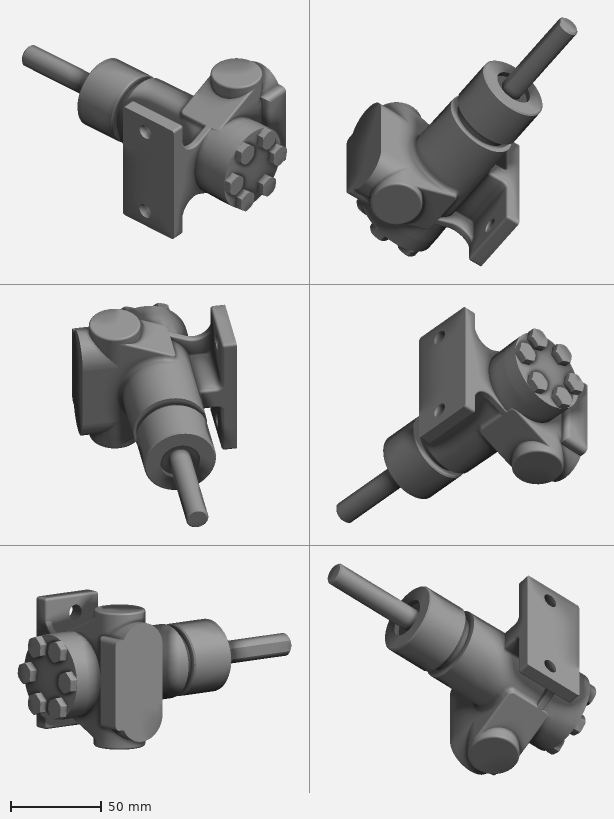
import cadquery as cq
import math


SHAFT_RADIUS = 6.35
SHAFT_CHAMFER = 1.0
SHAFT_FLAT_OFFSET = 5.6

GLAND_START = 52.6
GLAND_END = 78.4
BARREL_START = 83.4
BODY_START = 118.45
HEAD_START = 139.6
COVER_START = 154.8
COVER_END = 163.7
BOLT_END = 168.05

GLAND_RADIUS = 20.2
GLAND_CHAMFER = 0.8
GLAND_RECESS_RADIUS = 11.1
GLAND_RECESS_DEPTH = 3.0
NECK_RADIUS = 16.2
BARREL_START_RADIUS = 20.7
BARREL_END_RADIUS = 21.5
HEAD_START_RADIUS = 23.6
HEAD_RADIUS = 24.0

BOLT_COUNT = 6
HEXAGON_SIDES = 6
BOLT_CIRCLE_RADIUS = 18.4
BOLT_ACROSS_CORNERS = 12.7
BOLT_HEAD_CHAMFER = 0.6
BOLT_TURN = 20.0

PORT_RADIUS = 14.3
PORT_X = BODY_START + PORT_RADIUS
PORT_Y = 22.25
PORT_HALF_HEIGHT = 38.35
PORT_RIM_FILLET = 1.2
ELBOW_Z = 19.0
BACK_Y = 42.85
TOTAL_DEPTH = 84.07

PAD_END = 151.2
PAD_FRONT_Y = 27.0
PAD_HALF_HEIGHT = 25.4
PAD_FILLET = 3.0

BODY_FRONT_Y = -9.8
TAPER_TOP_Z = 35.95
TAPER_SLOPE = 0.436
BODY_CORNER_FILLET = 3.0
BARREL_FILLET = 2.7
TAPER_EDGE_FILLET = 1.2

PLATE_START = 104.6
PLATE_END = 141.8
PLATE_HALF_HEIGHT = 36.8
PLATE_FRONT_Y = BACK_Y - TOTAL_DEPTH
PLATE_BACK_Y = -32.9
PLATE_CORNER_FILLET = 1.6
TONGUE_HALF_THICKNESS = 6.3
TONGUE_ROOT_FILLET = 3.0
FOOT_EDGE_FILLET = 1.5
TONGUE_BARREL_FILLET = 1.3
RIB_THICKNESS = 4.4
RIB_START = PLATE_END - RIB_THICKNESS
RIB_FOOT_Y = -36.0
RIB_ARC_START_Y = -19.1
RIB_ARC_END_Z = 24.0
RIB_EDGE_FILLET = 1.0
RIB_ROOT_FILLET = 1.4
PLATE_HOLE_X = 121.0
PLATE_HOLE_Z = 26.9
PLATE_HOLE_DIAMETER = 8.5

TOLERANCE = 0.05
EDGE_SAMPLES = (0.02, 0.5, 0.98)


def edges_where(part, test):
    """Edges whose sampled points all pass the test."""
    def passes(edge):
        return all(test(edge.positionAt(place)) for place in EDGE_SAMPLES)

    return part.edges().filter(passes)


def near(value, target):
    return abs(value - target) < TOLERANCE


def on_barrel(point):
    """True within the range of radii that the tapered barrel covers."""
    distance = math.hypot(point.y, point.z)
    return BARREL_START_RADIUS < distance < BARREL_END_RADIUS + TOLERANCE


def cylinder_x(radius, start, end):
    return cq.Workplane("YZ").workplane(offset=start).circle(radius).extrude(end - start)


def block(x_range, y_range, z_range):
    size = [high - low for low, high in (x_range, y_range, z_range)]
    return cq.Workplane("XY").box(*size, centered=False).translate((x_range[0], y_range[0], z_range[0]))


def taper_z(y):
    """Half height of the tapered web at a given Y."""
    return TAPER_TOP_Z - TAPER_SLOPE * (PORT_Y - y)


def make_shaft():
    shaft = cylinder_x(SHAFT_RADIUS, 0, GLAND_END).faces("<X").chamfer(SHAFT_CHAMFER)
    flat = block((0, GLAND_END), (SHAFT_FLAT_OFFSET, SHAFT_RADIUS), (-SHAFT_RADIUS, SHAFT_RADIUS))
    return shaft.cut(flat)


def make_gland():
    gland = cylinder_x(GLAND_RADIUS, GLAND_START, GLAND_END).faces("<X or >X").chamfer(GLAND_CHAMFER)
    recess = cylinder_x(GLAND_RECESS_RADIUS, GLAND_START, GLAND_START + GLAND_RECESS_DEPTH)
    neck = cylinder_x(NECK_RADIUS, GLAND_END, BARREL_START)
    return gland.cut(recess).union(neck)


def turned_section(start, start_radius, end, end_radius):
    """Cone frustum about the shaft axis."""
    profile = [(start, 0), (start, start_radius), (end, end_radius), (end, 0)]
    return cq.Workplane("XY").polyline(profile).close().revolve(360, (0, 0, 0), (1, 0, 0))


def make_barrel():
    return turned_section(BARREL_START, BARREL_START_RADIUS, HEAD_START, BARREL_END_RADIUS)


def make_head():
    """Slightly tapered pump head closed by a straight cover."""
    head = turned_section(HEAD_START, HEAD_START_RADIUS, COVER_START, HEAD_RADIUS)
    return head.union(cylinder_x(HEAD_RADIUS, COVER_START, COVER_END))


def make_bolts():
    length = BOLT_END - COVER_END
    bolts = cq.Workplane("XY")
    for index in range(BOLT_COUNT):
        angle = math.radians(index * 360 / BOLT_COUNT)
        hexagon = cq.Workplane("YZ").polygon(HEXAGON_SIDES, BOLT_ACROSS_CORNERS).extrude(length)
        envelope = cylinder_x(BOLT_ACROSS_CORNERS / 2, 0, length).faces(">X").chamfer(BOLT_HEAD_CHAMFER)
        bolt = hexagon.intersect(envelope).rotate((0, 0, 0), (1, 0, 0), BOLT_TURN)
        y = BOLT_CIRCLE_RADIUS * math.cos(angle)
        z = BOLT_CIRCLE_RADIUS * math.sin(angle)
        bolts = bolts.add(bolt.translate((COVER_END, y, z)))
    return bolts


def make_upper_elbow():
    """Mitred elbow: the rounded legs meet on the 45 degree plane through the elbow centre."""
    upright = cq.Workplane("XY").center(PORT_X, PORT_Y).circle(PORT_RADIUS).extrude(PORT_HALF_HEIGHT)
    upright = upright.faces(">Z").edges().fillet(PORT_RIM_FILLET)
    outlet = (
        cq.Workplane("XZ", origin=(PORT_X, BACK_Y, ELBOW_Z))
        .circle(PORT_RADIUS)
        .extrude(BACK_Y - PORT_Y)
    )
    return upright.union(outlet)


def make_web():
    """Flat-sided body between the ports, narrowing toward the foot."""
    front_z = taper_z(BODY_FRONT_Y)
    outline = [
        (BODY_FRONT_Y, -front_z),
        (PORT_Y, -TAPER_TOP_Z),
        (PORT_Y, -ELBOW_Z),
        (BACK_Y, -ELBOW_Z),
        (BACK_Y, ELBOW_Z),
        (PORT_Y, ELBOW_Z),
        (PORT_Y, TAPER_TOP_Z),
        (BODY_FRONT_Y, front_z),
    ]
    web = (
        cq.Workplane("YZ", origin=(BODY_START, 0, 0))
        .polyline(outline)
        .close()
        .extrude(2 * PORT_RADIUS)
    )
    web = web.faces("<Y").edges("|Z").fillet(BODY_CORNER_FILLET)

    def on_taper_edge(point):
        return point.y < PORT_Y - TOLERANCE and near(abs(point.z), taper_z(point.y))

    return edges_where(web, on_taper_edge).fillet(TAPER_EDGE_FILLET)


def make_pad():
    pad = block((PORT_X, PAD_END), (PAD_FRONT_Y, BACK_Y), (-PAD_HALF_HEIGHT, PAD_HALF_HEIGHT))
    return pad.edges(">X and (not >Y)").fillet(PAD_FILLET)


def make_rib():
    """Thin rib that carries the taper on to the foot plate through a hollow arc."""
    half = (
        cq.Workplane("YZ", origin=(RIB_START, 0, 0))
        .lineTo(0, taper_z(0))
        .lineTo(RIB_ARC_START_Y, taper_z(RIB_ARC_START_Y))
        .tangentArcPoint((PLATE_BACK_Y, RIB_ARC_END_Z), relative=False)
        .lineTo(RIB_FOOT_Y, RIB_ARC_END_Z)
        .lineTo(RIB_FOOT_Y, 0)
        .close()
        .extrude(RIB_THICKNESS)
    )
    rib = half.union(half.mirror("XY"))

    def on_outer_edge(point):
        on_side = near(point.x, RIB_START) or near(point.x, PLATE_END)
        above_tongue = abs(point.z) > TONGUE_HALF_THICKNESS
        return on_side and PLATE_BACK_Y < point.y < -TOLERANCE and above_tongue

    return edges_where(rib, on_outer_edge).fillet(RIB_EDGE_FILLET)


def make_plate_and_tongue():
    """T-shaped foot: the plate with the flat tongue that joins it to the barrel."""
    upper_outline = [
        (0, TONGUE_HALF_THICKNESS),
        (PLATE_BACK_Y, TONGUE_HALF_THICKNESS),
        (PLATE_BACK_Y, PLATE_HALF_HEIGHT),
        (PLATE_FRONT_Y, PLATE_HALF_HEIGHT),
    ]
    lower_outline = [(y, -z) for y, z in reversed(upper_outline)]
    foot = (
        cq.Workplane("YZ", origin=(PLATE_START, 0, 0))
        .polyline(upper_outline + lower_outline)
        .close()
        .extrude(PLATE_END - PLATE_START)
    )

    def on_tongue_root(point):
        return near(point.y, PLATE_BACK_Y) and near(abs(point.z), TONGUE_HALF_THICKNESS)

    def on_plate_corner(point):
        on_side = near(point.x, PLATE_START) or near(point.x, PLATE_END)
        return on_side and near(abs(point.z), PLATE_HALF_HEIGHT) and point.y < PLATE_BACK_Y

    def on_leading_edge(point):
        below_corner = abs(point.z) < PLATE_HALF_HEIGHT - PLATE_CORNER_FILLET - TOLERANCE
        between_ends = PLATE_FRONT_Y + TOLERANCE < point.y < -TOLERANCE
        return near(point.x, PLATE_START) and between_ends and below_corner

    foot = edges_where(foot, on_tongue_root).fillet(TONGUE_ROOT_FILLET)
    foot = edges_where(foot, on_plate_corner).fillet(PLATE_CORNER_FILLET)
    return edges_where(foot, on_leading_edge).fillet(FOOT_EDGE_FILLET)


def make_ribbed_foot():
    foot = make_plate_and_tongue().union(make_rib())

    def on_rib_root(point):
        on_tongue = abs(point.z) < TONGUE_HALF_THICKNESS + TONGUE_ROOT_FILLET + TOLERANCE
        on_plate = near(point.y, PLATE_BACK_Y) and abs(point.z) < RIB_ARC_END_Z + TOLERANCE
        behind_plate = PLATE_BACK_Y - TOLERANCE < point.y < -TOLERANCE
        return near(point.x, RIB_START) and behind_plate and (on_tongue or on_plate)

    return edges_where(foot, on_rib_root).fillet(RIB_ROOT_FILLET)


def make_plate_holes():
    return (
        cq.Workplane("XZ", origin=(PLATE_HOLE_X, PLATE_BACK_Y, 0))
        .pushPoints([(0, PLATE_HOLE_Z), (0, -PLATE_HOLE_Z)])
        .circle(PLATE_HOLE_DIAMETER / 2)
        .extrude(PLATE_BACK_Y - PLATE_FRONT_Y)
    )


def make_barrel_and_web():
    """Barrel and web, blended where the barrel enters the web."""
    body = make_barrel().union(make_web())

    def on_barrel_entry(point):
        return on_barrel(point) and BODY_START - TOLERANCE < point.x < HEAD_START + TOLERANCE

    entry = edges_where(body, on_barrel_entry).filter(lambda edge: not near(edge.Center().x, HEAD_START))
    return body.newObject(entry.vals()).fillet(BARREL_FILLET)


def make_casting():
    """Barrel and web standing on the foot, with the tongue blended into the barrel."""
    casting = make_barrel_and_web().union(make_plate_and_tongue())

    def on_tongue_top(point):
        below_web = point.y < BODY_FRONT_Y - BARREL_FILLET
        return on_barrel(point) and point.x > PLATE_START - TOLERANCE and below_web

    casting = edges_where(casting, on_tongue_top).fillet(TONGUE_BARREL_FILLET)
    return casting.union(make_ribbed_foot()).cut(make_plate_holes())


elbow = make_upper_elbow()
ports = elbow.union(elbow.mirror("XY"))
result = make_casting().union(make_head()).union(ports).union(make_pad())
result = result.union(make_gland()).union(make_shaft())
for bolt_head in make_bolts().vals():
    result = result.union(cq.Workplane(bolt_head))